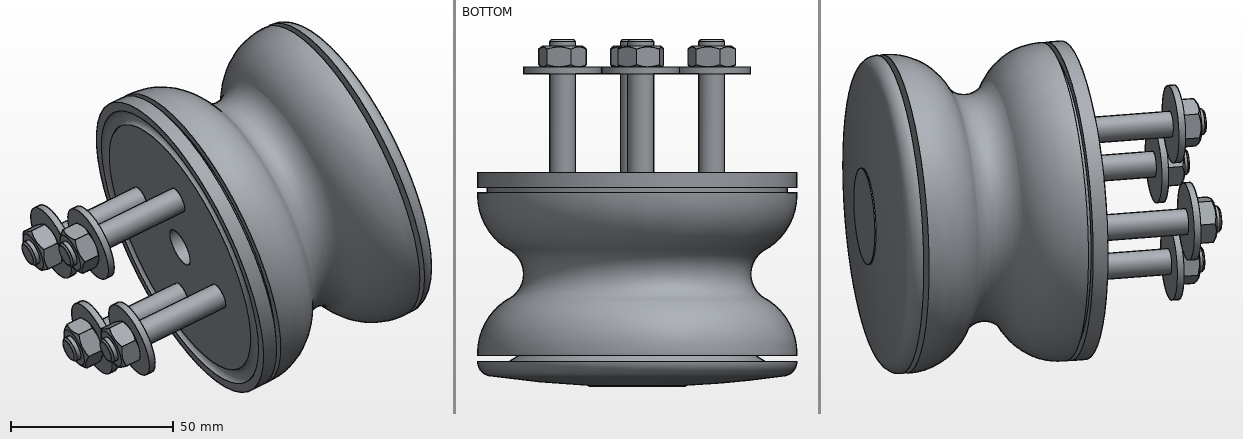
import cadquery as cq
import math


rim_radius = 98.6 / 2

plate_thickness = 4.7
spigot_radius = 92.6 / 2
spigot_height = 1.5
groove_outer_radius = spigot_radius
groove_inner_radius = 41.7
groove_depth = 2.1
bore_diameter = 12.0
bore_depth = plate_thickness + spigot_height

body_height = 50.3
rim_land = 0.7
shoulder_radius = 38.8
shoulder_half_height = 7.1
waist_radius = 35.1

neck_height = 1.7
neck_bottom_radius = 36.7
neck_top_radius = 39.4
crown_edge_radius = 44.7
crown_edge_height = 4.6
crown_radius = 315.9
pad_radius = 29.9 / 2
pad_rise = 3.2

stud_count = 4
stud_circle_radius = 23.0
stud_start_angle = 2.8
stud_diameter = 8.0
stud_length = 41.0
stud_chamfer = 0.6
washer_diameter = 24.0
washer_thickness = 2.1
washer_start = 30.4
nut_width = 13.0
nut_height = 6.4
nut_corner_angle = -12.6
nut_face_diameter = 12.0
nut_seat_diameter = 13.0
nut_cone_angle = 33

body_bottom = plate_thickness + spigot_height
body_top = body_bottom + body_height
waist_y = body_bottom + body_height / 2
cap_bottom = body_top + neck_height
crown_edge_y = cap_bottom + crown_edge_height
pad_top = crown_edge_y + pad_rise


def crown_drop(radius):
    """Drop of the spherical crown below its apex at a distance from the axis."""
    return crown_radius - math.sqrt(crown_radius**2 - radius**2)


def crown_point(radius):
    """Point of the crown's profile at a distance from the axis."""
    return (radius, crown_edge_y + crown_drop(crown_edge_radius) - crown_drop(radius))


def make_spool():
    """Revolve the base plate, roller body and crowned cap as one profile."""
    groove_middle_radius = (groove_outer_radius + groove_inner_radius) / 2

    bulge_width = rim_radius - shoulder_radius
    bulge_height = body_height / 2 - rim_land - shoulder_half_height
    bulge_radius = (bulge_width**2 + bulge_height**2) / (2 * bulge_width)
    half_angle = math.atan2(bulge_width, bulge_height)
    bulge_middle_radius = rim_radius - bulge_radius * (1 - math.cos(half_angle))
    bulge_middle_inset = rim_land + bulge_radius * math.sin(half_angle)
    lower_bulge_middle = (bulge_middle_radius, body_bottom + bulge_middle_inset)
    upper_bulge_middle = (bulge_middle_radius, body_top - bulge_middle_inset)
    lower_shoulder = (shoulder_radius, waist_y - shoulder_half_height)
    upper_shoulder = (shoulder_radius, waist_y + shoulder_half_height)

    diagonal = math.sqrt(0.5)
    cap_edge_middle = (
        crown_edge_radius + (rim_radius - crown_edge_radius) * diagonal,
        cap_bottom + crown_edge_height * diagonal,
    )

    profile = (
        cq.Workplane("XY")
        .lineTo(groove_inner_radius, 0)
        .threePointArc((groove_middle_radius, groove_depth), (groove_outer_radius, 0))
        .lineTo(rim_radius, 0)
        .lineTo(rim_radius, plate_thickness)
        .lineTo(spigot_radius, plate_thickness)
        .lineTo(spigot_radius, body_bottom)
        .lineTo(rim_radius, body_bottom)
        .lineTo(rim_radius, body_bottom + rim_land)
        .threePointArc(lower_bulge_middle, lower_shoulder)
        .threePointArc((waist_radius, waist_y), upper_shoulder)
        .threePointArc(upper_bulge_middle, (rim_radius, body_top - rim_land))
        .lineTo(rim_radius, body_top)
        .lineTo(neck_bottom_radius, body_top)
        .lineTo(neck_top_radius, cap_bottom)
        .lineTo(rim_radius, cap_bottom)
        .threePointArc(cap_edge_middle, (crown_edge_radius, crown_edge_y))
        .threePointArc(crown_point((crown_edge_radius + pad_radius) / 2), crown_point(pad_radius))
        .lineTo(pad_radius, pad_top)
        .lineTo(0, pad_top)
        .close()
    )
    return profile.revolve(360, (0, 0, 0), (0, 1, 0))


def disc(diameter, start, length):
    """Cylinder on the Y axis running from y = -start towards -Y."""
    return cq.Workplane("XZ", origin=(0, -start, 0)).circle(diameter / 2).extrude(length)


def make_nut():
    """Hexagon nut with conical corner chamfers at both ends."""
    corner_radius = nut_width / math.sqrt(3)
    nut_start = washer_start + washer_thickness
    slope = math.tan(math.radians(nut_cone_angle))
    seat_chamfer = (corner_radius - nut_seat_diameter / 2) * slope
    face_chamfer = (corner_radius - nut_face_diameter / 2) * slope
    hexagon = (
        cq.Workplane("XZ", origin=(0, -nut_start, 0))
        .polygon(6, 2 * corner_radius)
        .extrude(nut_height)
        .rotate((0, 0, 0), (0, 1, 0), -nut_corner_angle)
    )
    envelope = (
        cq.Workplane("XY")
        .moveTo(0, -nut_start)
        .lineTo(nut_seat_diameter / 2, -nut_start)
        .lineTo(corner_radius, -nut_start - seat_chamfer)
        .lineTo(corner_radius, -nut_start - nut_height + face_chamfer)
        .lineTo(nut_face_diameter / 2, -nut_start - nut_height)
        .lineTo(0, -nut_start - nut_height)
        .close()
        .revolve(360, (0, 0, 0), (0, 1, 0))
    )
    return hexagon.intersect(envelope)


def make_stud():
    """Stud on the Y axis, carrying its washer and nut."""
    rod = disc(stud_diameter, -plate_thickness, stud_length + plate_thickness)
    rod = rod.faces("<Y").chamfer(stud_chamfer)
    washer = disc(washer_diameter, washer_start, washer_thickness)
    return rod.union(washer).union(make_nut())


result = make_spool().cut(disc(bore_diameter, -bore_depth, bore_depth))

stud = make_stud().translate((stud_circle_radius, 0, 0))
for index in range(stud_count):
    angle = stud_start_angle + index * 360 / stud_count
    result = result.union(stud.rotate((0, 0, 0), (0, 1, 0), -angle))